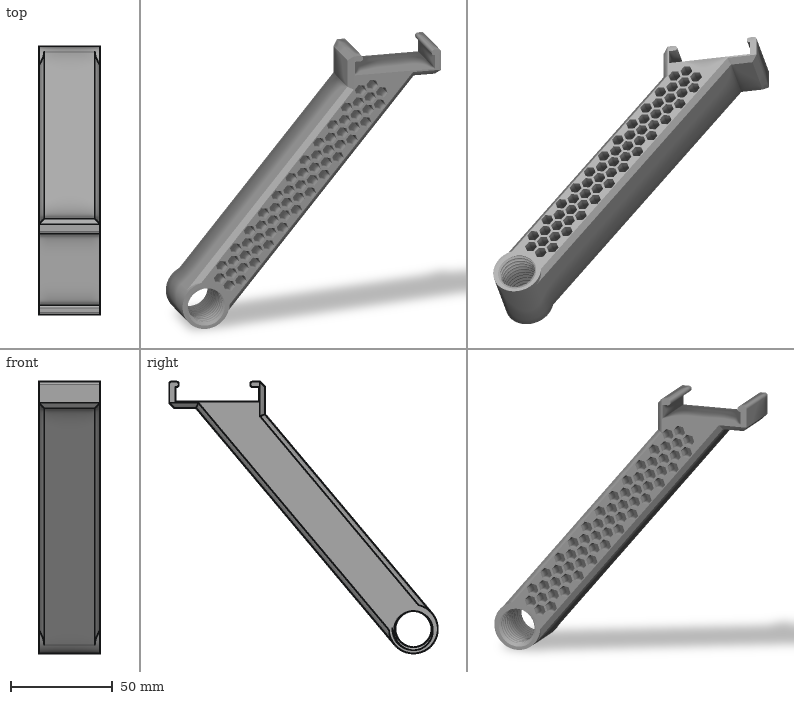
import cadquery as cq
import math

width = 30.0
depth = 131.8
height = 133.4
chamfer = 2.5

eye_radius = 12.0
arm_angle = 50.0
arm_half_width = eye_radius

clip_back = eye_radius - depth
clip_front = -72.7
clip_top = height - eye_radius
clip_base = 108.3
floor_top = 111.6
wall = 3.2
lip_thickness = 2.8
front_lip_reach = 4.1
back_lip_reach = 1.6
lip_round = 1.3
front_wall = clip_front - wall
back_wall = clip_back + wall
front_tip = front_wall - front_lip_reach
back_tip = back_wall + back_lip_reach
lip_base = clip_top - lip_thickness

bore_radius = 8.8
thread_turns = 12
thread_pitch = width / thread_turns
thread_depth = 0.61 * thread_pitch
flank_angle = 30.0
root_flat = thread_pitch / 8
overlap = 0.3
bore_run_out = 4.0

hex_flats = 5.2
hex_gap = 1.15
hex_pitch = hex_flats + hex_gap
hex_depth = 8.0
row_count = 23
first_row = 14.5

cos_arm = math.cos(math.radians(arm_angle))
sin_arm = math.sin(math.radians(arm_angle))
left_face = -width / 2


def arm_point(along, across):
    """(Y, Z) of a point along the arm; positive across is the lower side."""
    return (-along * cos_arm - across * sin_arm, along * sin_arm - across * cos_arm)


def prism(outline):
    """Solid of full part width from a closed (Y, Z) sketch."""
    return outline.close().extrude(width)


def profile_plane():
    """Plane of the -X face, with Y and Z as its axes."""
    return cq.Workplane("YZ", origin=(left_face, 0, 0))


def edges_near(body, points):
    """The edge of the body nearest to each point, as a selection."""
    edges = []
    for point in points:
        edges += body.edges(cq.selectors.NearestToPointSelector(point)).vals()
    return body.newObject(edges)


def chamfered_blank():
    """Arm and clip as one block, bevelled along every outer edge."""
    front_along = (-clip_front + arm_half_width * sin_arm) / cos_arm
    base_along = (clip_base + arm_half_width * cos_arm) / sin_arm
    outline = [
        arm_point(0, -arm_half_width),
        arm_point(front_along, -arm_half_width),
        (clip_front, clip_top),
        (clip_back, clip_top),
        (clip_back, clip_base),
        arm_point(base_along, arm_half_width),
        arm_point(0, arm_half_width),
    ]
    blank = prism(profile_plane().polyline(outline))
    bevelled = []
    for start, end in [(0, 1), (1, 2), (4, 5), (5, 6)]:
        mid_y = (outline[start][0] + outline[end][0]) / 2
        mid_z = (outline[start][1] + outline[end][1]) / 2
        for x in (-width / 2, width / 2):
            bevelled.append((x, mid_y, mid_z))
    bevelled.append((0, clip_front, clip_top))
    bevelled.append((0, clip_back, clip_base))
    return edges_near(blank, bevelled).chamfer(chamfer)


def clip_channel():
    """Channel between the two lips, open at the top."""
    outline = [
        (front_wall, floor_top),
        (front_wall, lip_base),
        (front_tip, lip_base),
        (front_tip, clip_top),
        (back_tip, clip_top),
        (back_tip, lip_base),
        (back_wall, lip_base),
        (back_wall, floor_top),
    ]
    return prism(profile_plane().polyline(outline))


def round_lips(body):
    """Round the lip tips and the outer top corner of the back wall."""
    corners = [
        (front_tip, clip_top),
        (front_tip, lip_base),
        (back_tip, clip_top),
        (back_tip, lip_base),
        (clip_back, clip_top),
    ]
    points = [(0, y, z) for y, z in corners]
    return edges_near(body, points).fillet(lip_round)


def thread_groove():
    """Right-handed helical groove along X, running one pitch past both faces."""
    root_radius = bore_radius + thread_depth
    inner_radius = bore_radius - overlap
    root_half = root_flat / 2
    inner_half = root_half + (thread_depth + overlap) * math.tan(math.radians(flank_angle))
    profile = [
        (inner_radius, -inner_half),
        (root_radius, -root_half),
        (root_radius, root_half),
        (inner_radius, inner_half),
    ]
    helix = cq.Wire.makeHelix(thread_pitch, width + 2 * thread_pitch, bore_radius)
    groove = cq.Workplane("XZ").polyline(profile).close().sweep(cq.Workplane(helix), isFrenet=True)
    along_x = groove.rotate((0, 0, 0), (0, 1, 0), 90)
    return along_x.translate((left_face - thread_pitch, 0, 0))


def threaded_bore():
    """Cutter for the through bore and its thread."""
    bore = cq.Workplane("YZ", origin=(left_face - bore_run_out, 0, 0))
    bore = bore.circle(bore_radius).extrude(width + 2 * bore_run_out)
    return bore.union(thread_groove())


def honeycomb():
    """Hexagonal pockets in staggered rows of two and three across the arm."""
    row_step = hex_pitch * math.sqrt(3) / 2
    centres = []
    for row in range(row_count):
        across = (-0.5, 0.5) if row % 2 == 0 else (-1, 0, 1)
        for place in across:
            centres.append((first_row + row * row_step, place * hex_pitch))
    arm_plane = cq.Plane(
        origin=(left_face, 0, 0), xDir=(0, -cos_arm, sin_arm), normal=(1, 0, 0)
    )
    hex_diameter = hex_flats * 2 / math.sqrt(3)
    return cq.Workplane(arm_plane).pushPoints(centres).polygon(6, hex_diameter).extrude(hex_depth)


clip_and_arm = round_lips(chamfered_blank().cut(clip_channel()))
eye = profile_plane().circle(eye_radius).extrude(width)
body = clip_and_arm.union(eye).cut(honeycomb())
result = body.cut(threaded_bore())